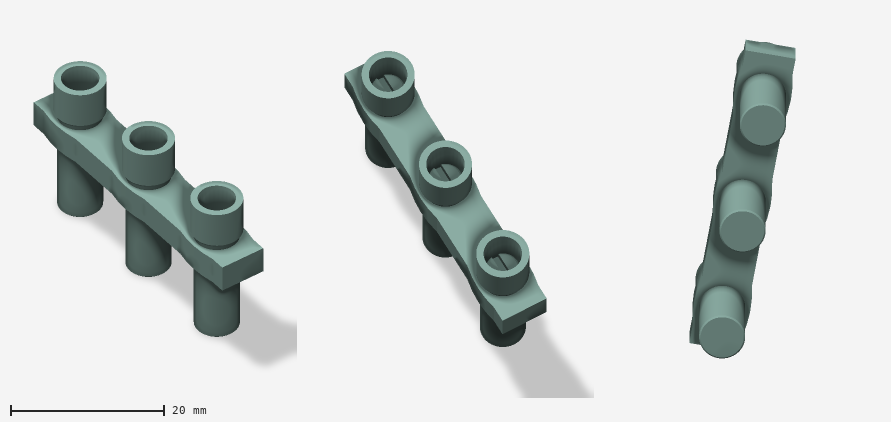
import cadquery as cq

BAR_LENGTH = 41.4
BAR_WIDTH = 6.6
BAR_HEIGHT = 3.9
BULGE_LENGTH = 7.0
BULGE_RISE = 0.405

POST_COUNT = 3
POST_PITCH = 15.0
POST_RADIUS = 3.0
POST_BELOW_BAR = 11.0
POST_TIP_CHAMFER = 0.2
POST_SHOULDER_CHAMFER = 0.12

HEAD_RADIUS = 3.45
HEAD_HEIGHT = 5.4
HEAD_CHAMFER_WIDTH = 0.1
HEAD_CHAMFER_HEIGHT = 0.2
NECK_HEIGHT = 0.9

BORE_END_RADIUS = 2.2
BORE_MOUTH_RADIUS = 2.5
BORE_DEPTH = 4.0
FLOOR_EDGE_CHAMFER = 0.27

SLOT_WIDTH = 1.0
SLOT_DEPTH = 1.0

HEAD_BOTTOM = BAR_HEIGHT + NECK_HEIGHT
HEAD_TOP = HEAD_BOTTOM + HEAD_HEIGHT
BORE_FLOOR = HEAD_TOP - BORE_DEPTH
POST_POSITIONS = [POST_PITCH * (i - (POST_COUNT - 1) / 2) for i in range(POST_COUNT)]


def make_bar():
    """Straight bar with a shallow arc bulging out of both long sides at each post."""
    half_length = BAR_LENGTH / 2
    half_width = BAR_WIDTH / 2
    half_bulge = BULGE_LENGTH / 2
    outline = cq.Workplane("XY").moveTo(-half_length, -half_width)
    for side in (1, -1):
        edge_y = -side * half_width
        crest_y = -side * (half_width + BULGE_RISE)
        for x in POST_POSITIONS[::side]:
            outline = outline.lineTo(x - side * half_bulge, edge_y)
            outline = outline.threePointArc((x, crest_y), (x + side * half_bulge, edge_y))
        outline = outline.lineTo(side * half_length, edge_y)
        outline = outline.lineTo(side * half_length, -edge_y)
    return outline.close().extrude(BAR_HEIGHT)


def make_screw():
    """Post, neck and bored head as one turned body on the Z axis, with a slotted bore floor."""
    tip = -POST_BELOW_BAR
    profile = [
        (0, tip),
        (POST_RADIUS - POST_TIP_CHAMFER, tip),
        (POST_RADIUS, tip + POST_TIP_CHAMFER),
        (POST_RADIUS, -POST_SHOULDER_CHAMFER),
        (POST_RADIUS - POST_SHOULDER_CHAMFER, 0),
        (POST_RADIUS - POST_SHOULDER_CHAMFER, BAR_HEIGHT),
        (POST_RADIUS, BAR_HEIGHT),
        (POST_RADIUS, HEAD_BOTTOM),
        (HEAD_RADIUS - HEAD_CHAMFER_WIDTH, HEAD_BOTTOM),
        (HEAD_RADIUS, HEAD_BOTTOM + HEAD_CHAMFER_HEIGHT),
        (HEAD_RADIUS, HEAD_TOP),
        (BORE_MOUTH_RADIUS, HEAD_TOP),
        (BORE_END_RADIUS, BORE_FLOOR - FLOOR_EDGE_CHAMFER),
        (BORE_END_RADIUS - FLOOR_EDGE_CHAMFER, BORE_FLOOR),
        (0, BORE_FLOOR),
    ]
    body = cq.Workplane("XZ").polyline(profile).close().revolve(360, (0, 0), (0, 1))
    return body.cut(make_slot())


def make_slot():
    """Slot cutter along X, its ends following the bore wall."""
    blade = (
        cq.Workplane("XY")
        .workplane(offset=BORE_FLOOR - SLOT_DEPTH)
        .rect(2 * BORE_END_RADIUS, SLOT_WIDTH)
        .extrude(SLOT_DEPTH)
    )
    bore_core = (
        cq.Workplane("XY")
        .workplane(offset=BORE_FLOOR - SLOT_DEPTH)
        .circle(BORE_END_RADIUS)
        .extrude(SLOT_DEPTH)
    )
    return blade.intersect(bore_core)


result = make_bar()
screw = make_screw()
for post_x in POST_POSITIONS:
    result = result.union(screw.translate((post_x, 0, 0)))